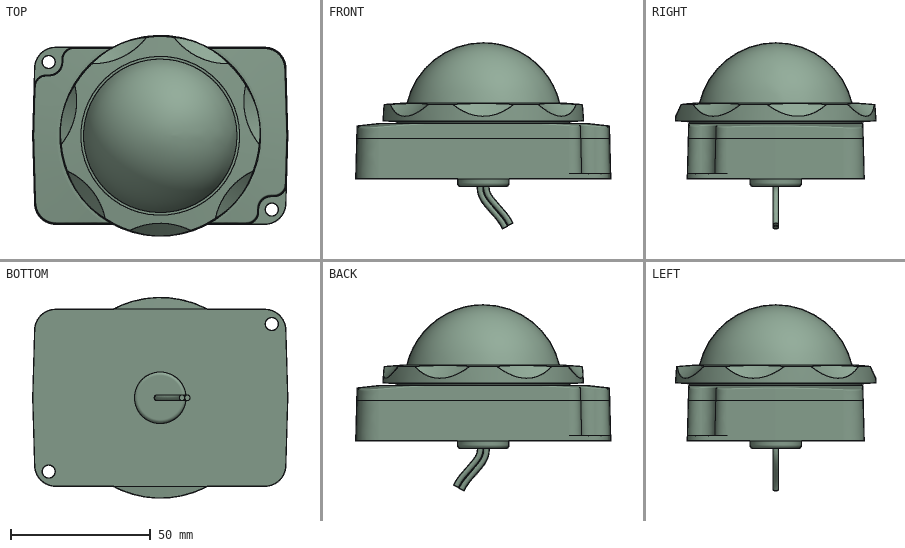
import cadquery as cq
import math

LENGTH = 91.5
WIDTH = 63.5
CORNER_LENGTH = 89.7
CORNER_RADIUS = 7.6
DRAFT_ANGLE = 1.5
SEAM_Z = 14.5
PLATEAU_Z = 19.9
PLATEAU_RADIUS = 37.1
TOP_SLOPE = 0.11
TOP_EDGE_RADIUS = 0.4

HALF_LENGTH = LENGTH / 2
HALF_WIDTH = WIDTH / 2
HALF_CORNER = CORNER_LENGTH / 2
BLOCK_HEIGHT = PLATEAU_Z + 0.9
POINT_TOLERANCE = 0.001

TAB_HEIGHT = 1.8
TAB_HOLE_DIAMETER = 4.6
TAB_HOLE_X = 40.0
TAB_HOLE_Y = 26.45
NOTCH_X = 35.3
NOTCH_Y = 21.9
NOTCH_EDGE_RADIUS = 9.0 / 2

NECK_RADIUS = 61.95 / 2
RING_RADIUS = 72.0 / 2
RING_TOP_RADIUS = 35.6
RING_BOTTOM_Z = 20.8
RING_SHOULDER_Z = 26.6
RING_TOP_Z = 27.2
RING_UNDERSIDE_DROP = 0.4
RING_BORE_RADIUS = 28.5
GROOVE_FLOOR_Z = 26.7
DOME_RADIUS = 28.2
DOME_TOP_Z = 48.8

SCALLOP_COUNT = 7
FIRST_SCALLOP_ANGLE = -90.0
SCALLOP_RADIUS = 38.4
SCALLOP_TOP_REACH = 31.7
SCALLOP_LENGTH = 54.9

GROMMET_DIAMETER = 18.5
GROMMET_HEIGHT = 2.8
GROMMET_EDGE_RADIUS = 1.3
WIRE_DIAMETER = 2.1
WIRE_SPACING = 2.2
FIRST_BEND_RADIUS = 8.2
FIRST_BEND_ANGLE = 45.0
SECOND_BEND_RADIUS = 39.9
END_ANGLE = 30.0


def round_corners(wire, radius, corners):
    """Round the vertices of a flat wire that lie on the listed corner points."""
    picked = [
        vertex
        for vertex in wire.Vertices()
        if any(math.dist((vertex.X, vertex.Y), corner) < POINT_TOLERANCE for corner in corners)
    ]
    return wire.fillet2D(radius, picked)


def both_ends(points):
    """Add to the points their copies turned half a turn about Z."""
    return points + [(-x, -y) for x, y in points]


def drafted_prism(wire, height):
    return cq.Workplane("XY").add(wire).toPending().extrude(height, taper=DRAFT_ANGLE)


def polygon(points):
    return cq.Wire.makePolygon([cq.Vector(x, y, 0) for x, y in points], close=True)


def tab_plate():
    """Thin plate with the full outline, which shows as tabs under the notches."""
    corners = both_ends([(HALF_CORNER, HALF_WIDTH), (HALF_CORNER, -HALF_WIDTH)])
    outline = polygon(both_ends([(HALF_LENGTH, 0), (HALF_CORNER, HALF_WIDTH), (-HALF_CORNER, HALF_WIDTH)]))
    return drafted_prism(round_corners(outline, CORNER_RADIUS, corners), TAB_HEIGHT)


def notched_block():
    """Full-height block with a notch at the (-X, +Y) and (+X, -Y) corners."""
    wall_slope = (HALF_LENGTH - HALF_CORNER) / HALF_WIDTH
    notch_end_wall = (NOTCH_Y * wall_slope - HALF_LENGTH, NOTCH_Y)
    notch_inner = (-NOTCH_X, NOTCH_Y)
    notch_side_wall = (-NOTCH_X, HALF_WIDTH)
    full_corner = (HALF_CORNER, HALF_WIDTH)
    outline = polygon(
        both_ends([(HALF_LENGTH, 0), full_corner, notch_side_wall, notch_inner, notch_end_wall])
    )
    outline = round_corners(outline, CORNER_RADIUS, both_ends([full_corner]))
    notch_corners = both_ends([notch_side_wall, notch_inner, notch_end_wall])
    outline = round_corners(outline, NOTCH_EDGE_RADIUS, notch_corners)
    return drafted_prism(outline, BLOCK_HEIGHT)


def slab(bottom_z, top_z):
    """Oversized slab that keeps the part of a body between two heights."""
    size = 2 * LENGTH
    return cq.Workplane("XY").workplane(offset=bottom_z).rect(size, size).extrude(top_z - bottom_z)


def revolved(profile):
    """Turn a closed (radius, z) profile about the Z axis."""
    return cq.Workplane("XZ").polyline(profile).close().revolve(360, (0, 0, 0), (0, 1, 0))


def grommet():
    disc = cq.Workplane("XY").circle(GROMMET_DIAMETER / 2).extrude(-GROMMET_HEIGHT)
    return disc.faces("<Z").edges().fillet(GROMMET_EDGE_RADIUS)


def wire_strand(offset):
    """One wire, bent parallel to the cable centre line at the given sideways offset."""

    def on_bend(center, radius, lean):
        """Point of a bend where the wire leans by this angle; a negative radius lies on the -X side."""
        angle = math.radians(lean)
        return (center[0] + radius * math.cos(angle), center[1] + radius * math.sin(angle))

    start_z = -GROMMET_HEIGHT
    first_center = (FIRST_BEND_RADIUS, start_z)
    center_distance = FIRST_BEND_RADIUS + SECOND_BEND_RADIUS
    second_center = on_bend(first_center, -center_distance, FIRST_BEND_ANGLE)
    first_radius = offset - FIRST_BEND_RADIUS
    second_radius = offset + SECOND_BEND_RADIUS
    mean_angle = (FIRST_BEND_ANGLE + END_ANGLE) / 2
    path = (
        cq.Workplane("XZ")
        .moveTo(offset, start_z)
        .spline(
            [
                on_bend(first_center, first_radius, FIRST_BEND_ANGLE / 2),
                on_bend(first_center, first_radius, FIRST_BEND_ANGLE),
                on_bend(second_center, second_radius, mean_angle),
                on_bend(second_center, second_radius, END_ANGLE),
            ],
            includeCurrent=True,
        )
    )
    section = cq.Workplane("XY").workplane(offset=start_z).center(offset, 0).circle(WIRE_DIAMETER / 2)
    return section.sweep(path)


def make_base():
    """Lower housing with mounting tabs, cable entry and wires."""
    base = notched_block().intersect(slab(0, SEAM_Z)).union(tab_plate())
    holes = (
        cq.Workplane("XY")
        .pushPoints(both_ends([(-TAB_HOLE_X, TAB_HOLE_Y)]))
        .circle(TAB_HOLE_DIAMETER / 2)
        .extrude(TAB_HEIGHT)
    )
    base = base.cut(holes).union(grommet())
    for side in (-1, 1):
        base = base.union(wire_strand(side * WIRE_SPACING / 2))
    return base


def is_rim_edge(edge):
    """True for edges between the cover top and its side walls."""
    above_seam = edge.BoundingBox().zmin > SEAM_Z + TOP_EDGE_RADIUS
    on_plateau_circle = edge.geomType() == "CIRCLE" and math.isclose(edge.radius(), PLATEAU_RADIUS)
    return above_seam and not on_plateau_circle


def cover_shell():
    """Upper housing, flat under the ring and falling gently outside it."""
    rim_radius = LENGTH
    rim_z = PLATEAU_Z - TOP_SLOPE * (rim_radius - PLATEAU_RADIUS)
    top_shape = revolved(
        [(0, 0), (rim_radius, 0), (rim_radius, rim_z), (PLATEAU_RADIUS, PLATEAU_Z), (0, PLATEAU_Z)]
    )
    shell = notched_block().intersect(slab(SEAM_Z, BLOCK_HEIGHT)).intersect(top_shape)
    rim = shell.edges().filter(is_rim_edge)
    return rim.fillet(TOP_EDGE_RADIUS)


def scallop_cutter(angle):
    """Cylinder tilted 45 degrees that scoops the shoulder of the ring."""
    axis_shift = SCALLOP_RADIUS / math.sqrt(2)
    axis_plane = cq.Plane(
        origin=(SCALLOP_TOP_REACH + axis_shift, 0, RING_SHOULDER_Z + axis_shift),
        xDir=(0, 1, 0),
        normal=(1, 0, -1),
    )
    cutter = cq.Workplane(axis_plane).circle(SCALLOP_RADIUS).extrude(SCALLOP_LENGTH / 2, both=True)
    return cutter.rotate((0, 0, 0), (0, 0, 1), angle)


def ring():
    """Scalloped ring on its neck, with a shallow groove around the dome."""
    body = revolved(
        [
            (0, PLATEAU_Z),
            (NECK_RADIUS, PLATEAU_Z),
            (NECK_RADIUS, RING_BOTTOM_Z - RING_UNDERSIDE_DROP),
            (RING_RADIUS, RING_BOTTOM_Z),
            (RING_TOP_RADIUS, RING_SHOULDER_Z),
            (RING_BORE_RADIUS, RING_TOP_Z),
            (RING_BORE_RADIUS, GROOVE_FLOOR_Z),
            (0, GROOVE_FLOOR_Z),
        ]
    )
    for index in range(SCALLOP_COUNT):
        body = body.cut(scallop_cutter(FIRST_SCALLOP_ANGLE + index * 360 / SCALLOP_COUNT))
    return body


def dome():
    ball = cq.Workplane("XY").sphere(DOME_RADIUS).translate((0, 0, DOME_TOP_Z - DOME_RADIUS))
    return ball.intersect(slab(GROOVE_FLOOR_Z, DOME_TOP_Z))


def make_cover():
    """Upper housing with the scalloped ring and the dome."""
    return cover_shell().union(ring()).union(dome())


base = make_base()
cover = make_cover()
result = cq.Compound.makeCompound([base.val(), cover.val()])